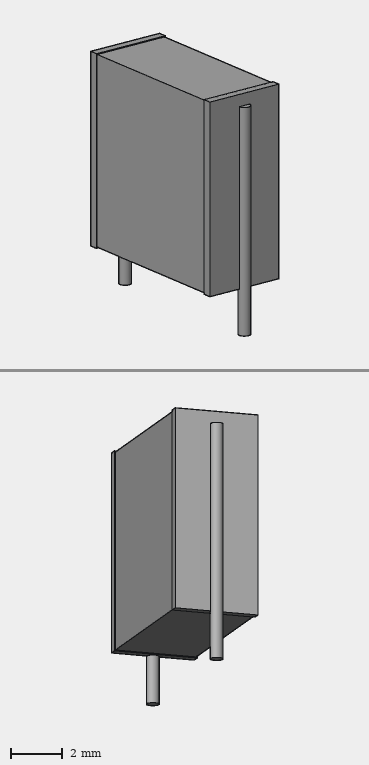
import cadquery as cq

total_height = 9.9
total_width = 8.0
cap_depth = 3.4
cap_height = 8.0

cap_thickness = 0.37
lead_diameter = 0.5
lead_top_drop = 0.5
body_inset = 0.04

lead_x = (total_width - lead_diameter) / 2
cap_bottom = total_height - cap_height
lead_length = total_height - lead_top_drop


def block(width, depth, height, center_x, bottom):
    """Box centred on Y = 0 that stands on the given bottom height."""
    return (
        cq.Workplane("XY", origin=(center_x, 0, bottom))
        .box(width, depth, height, centered=(True, True, False))
    )


def lead(center_x):
    """Round wire standing on Z = 0."""
    return cq.Workplane("XY").center(center_x, 0).circle(lead_diameter / 2).extrude(lead_length)


result = block(
    2 * (lead_x - cap_thickness),
    cap_depth - 2 * body_inset,
    cap_height - 2 * body_inset,
    0,
    cap_bottom + body_inset,
)

for side in (-1, 1):
    cap_x = side * (lead_x - cap_thickness / 2)
    cap = block(cap_thickness, cap_depth, cap_height, cap_x, cap_bottom)
    result = result.union(cap).union(lead(side * lead_x))